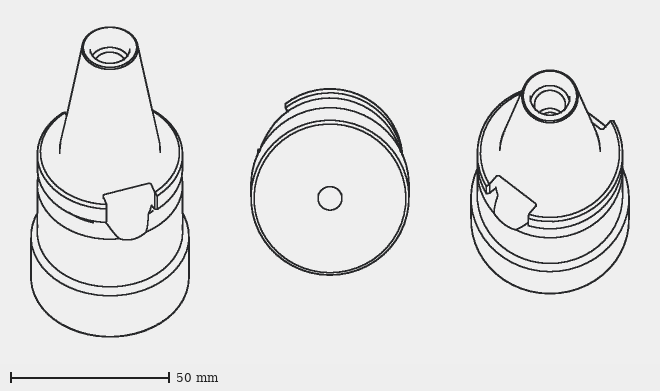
import cadquery as cq
import math

total_height = 111.4
gauge_height = 63.0
flange_top = 61.0
flange_bottom_edge = 53.6
body_top_edge = 45.6
body_bottom = 22.7
nut_top_edge = 20.7

nut_radius = 50.0 / 2
body_radius = 46.0 / 2
neck_radius = 38.0 / 2
gauge_radius = 31.7 / 2

nut_nose_chamfer = 1.0
flange_chamfer = 1.0
gauge_foot_fillet = 0.3
neck_fillet = 0.3
taper_tip_chamfer = 0.5
edge_search_margin = 0.1

taper_slope = 7 / 24 / 2
cone_slope = math.tan(math.radians(30))

through_radius = 3.8
thread_radius = 4.9
counterbore_radius = 6.2
mouth_rounding = 0.95
counterbore_depth = 7.1
thread_depth = 24.0

slot_half_width = 8.0
slot_floor = 16.3
slot_bottom = 44.2
slot_arc_centre = slot_bottom + slot_half_width
slot_floor_fillet = 0.8
slot_mouth_chamfer_depth = 1.0
slot_mouth_chamfer_width = 0.5


def make_outer_body():
    taper_end_height = total_height - taper_tip_chamfer
    taper_end_radius = gauge_radius - (taper_end_height - gauge_height) * taper_slope
    cone_height = (body_radius - neck_radius) * cone_slope
    neck_bottom = body_top_edge + cone_height
    neck_top = flange_bottom_edge - cone_height
    profile = [
        (0, 0),
        (nut_radius - nut_nose_chamfer, 0),
        (nut_radius, nut_nose_chamfer),
        (nut_radius, nut_top_edge),
        (body_radius, body_bottom),
        (body_radius, body_top_edge),
        (neck_radius, neck_bottom),
        (neck_radius, neck_top),
        (body_radius, flange_bottom_edge),
        (body_radius, flange_top - flange_chamfer),
        (body_radius - flange_chamfer, flange_top),
        (gauge_radius, flange_top),
        (gauge_radius, gauge_height),
        (taper_end_radius, taper_end_height),
        (taper_end_radius - taper_tip_chamfer, total_height),
        (0, total_height),
    ]
    body = revolve_profile(profile)
    body = fillet_circle(body, neck_radius, neck_bottom, neck_fillet)
    body = fillet_circle(body, neck_radius, neck_top, neck_fillet)
    return fillet_circle(body, gauge_radius, flange_top, gauge_foot_fillet)


def make_bore():
    counterbore_bottom = total_height - counterbore_depth
    thread_bottom = total_height - thread_depth
    profile = [
        (0, 0),
        (through_radius, 0),
        (through_radius, thread_bottom - (thread_radius - through_radius) * cone_slope),
        (thread_radius, thread_bottom),
        (thread_radius, counterbore_bottom - (counterbore_radius - thread_radius) * cone_slope),
        (counterbore_radius, counterbore_bottom),
        (counterbore_radius, total_height),
        (0, total_height),
    ]
    return revolve_profile(profile)


def revolve_profile(points):
    """Turn a closed (radius, height) outline about the Z axis."""
    return cq.Workplane("XZ").polyline(points).close().revolve(360, (0, 0), (0, 1))


def fillet_circle(body, radius, height, fillet_radius):
    """Round the circular edge of the given radius at the given height."""
    reach = radius + edge_search_margin
    lower = (-reach, -reach, height - edge_search_margin)
    upper = (reach, reach, height + edge_search_margin)
    selector = cq.selectors.BoxSelector(lower, upper, boundingbox=True)
    return body.edges(selector).fillet(fillet_radius)


def make_slot():
    """Round-ended drive slot on the +X side, open at the top."""
    cutter = (
        cq.Workplane("YZ", origin=(slot_floor, 0, 0))
        .moveTo(-slot_half_width, flange_top)
        .lineTo(-slot_half_width, slot_arc_centre)
        .threePointArc((0, slot_bottom), (slot_half_width, slot_arc_centre))
        .lineTo(slot_half_width, flange_top)
        .close()
        .extrude(nut_radius - slot_floor)
        .faces("<X")
        .edges("not >Z")
        .fillet(slot_floor_fillet)
    )
    return cutter.union(make_slot_mouth())


def make_slot_mouth():
    """Wedge that breaks both vertical flange edges where the slot opens on the rim."""
    rim_half_width = slot_half_width + slot_mouth_chamfer_width
    rim_x = math.sqrt(body_radius ** 2 - rim_half_width ** 2)
    start_x = rim_x - slot_mouth_chamfer_depth
    flare = slot_mouth_chamfer_width / slot_mouth_chamfer_depth
    end_half_width = slot_half_width + (body_radius - start_x) * flare
    return (
        cq.Workplane("XY", origin=(0, 0, slot_arc_centre))
        .polyline([
            (start_x, -slot_half_width),
            (body_radius, -end_half_width),
            (body_radius, end_half_width),
            (start_x, slot_half_width),
        ])
        .close()
        .extrude(flange_top - slot_arc_centre)
    )


slot = make_slot()
result = make_outer_body().cut(make_bore())
result = fillet_circle(result, counterbore_radius, total_height, mouth_rounding)
result = result.cut(slot).cut(slot.mirror("YZ"))